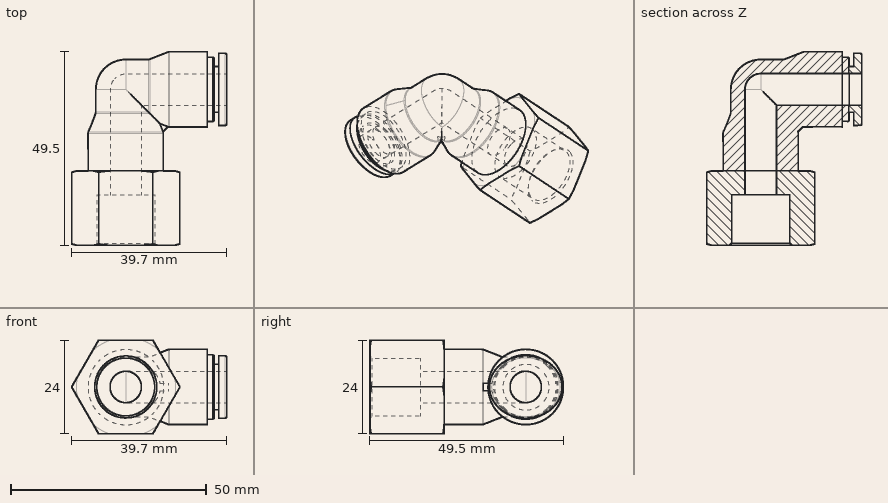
import cadquery as cq
import math


passage_diameter = 8.0
arm_neck_radius = 7.65
arm_radius = 19.3 / 2
arm_length = 20.8
cone_start = 5.95
cone_end = 11.0
blend_radius = 1.0
web_thickness = 2.0
web_reach = 20.35
web_tip = 9.5

across_flats = 24.0
corner_radius = across_flats / math.sqrt(3)
nut_length = 19.0
thread_diameter = 14.8
thread_depth = 12.85
thread_chamfer = 0.55
corner_circle_radius = 12.65
corner_chamfer_depth = 0.35

collar_diameter = 16.5
collar_length = 1.75
collar_chamfer = 0.3

sleeve_neck_diameter = 11.7
sleeve_neck_length = 1.2
flange_length = 2.1
flange_width = 18.5
flange_height = 16.0
flange_fillet = 0.5

nut_end = arm_length + nut_length
collar_end = arm_length + collar_length
flange_start = collar_end + sleeve_neck_length


def cylinder_along_x(start, length, diameter):
    return cq.Workplane("YZ", origin=(start, 0, 0)).circle(diameter / 2).extrude(length)


def to_y_arm(shape):
    """Turn a shape built along +X so that it runs along -Y."""
    return shape.rotate((0, 0, 0), (0, 0, 1), -90)


def make_arm():
    """Outer form of one arm along +X: narrow neck, cone with blended ends, wide socket."""
    arm = (
        cq.Workplane("XY")
        .polyline([
            (0, 0),
            (0, arm_neck_radius),
            (cone_start, arm_neck_radius),
            (cone_end, arm_radius),
            (arm_length, arm_radius),
            (arm_length, 0),
        ])
        .close()
        .revolve(360, (0, 0, 0), (1, 0, 0))
    )
    between_arm_ends = cq.selectors.BoxSelector(
        (cone_start / 2, -arm_radius, -arm_radius),
        ((cone_end + arm_length) / 2, arm_radius, arm_radius),
    )
    return arm.edges("%CIRCLE").edges(between_arm_ends).fillet(blend_radius)


def make_web():
    """Flat web that fills the inner corner between the two cones."""
    return (
        cq.Workplane("XY")
        .polyline([
            (cone_start, -cone_start),
            (web_reach - web_tip, -web_tip),
            (web_tip, web_tip - web_reach),
        ])
        .close()
        .extrude(web_thickness / 2, both=True)
    )


def make_elbow():
    arm = make_arm()
    dome = cq.Workplane("XY").sphere(arm_neck_radius)
    bore = cylinder_along_x(0, arm_length, passage_diameter)
    bore_corner = cq.Workplane("XY").sphere(passage_diameter / 2)
    return (
        arm.union(to_y_arm(arm))
        .union(dome)
        .union(make_web())
        .cut(bore)
        .cut(to_y_arm(bore))
        .cut(bore_corner)
    )


def make_corner_cutter():
    """Turned envelope that bevels the hexagon's corners at both ends of the nut."""
    return (
        cq.Workplane("XY")
        .polyline([
            (arm_length, 0),
            (arm_length, corner_circle_radius),
            (arm_length + corner_chamfer_depth, corner_radius),
            (nut_end - corner_chamfer_depth, corner_radius),
            (nut_end, corner_circle_radius),
            (nut_end, 0),
        ])
        .close()
        .revolve(360, (0, 0, 0), (1, 0, 0))
    )


def make_nut():
    """Hex nut with flats facing up and down, built along +X and turned onto the -Y arm."""
    hexagon = (
        cq.Workplane("YZ", origin=(arm_length, 0, 0))
        .polygon(6, 2 * corner_radius)
        .extrude(nut_length)
        .intersect(make_corner_cutter())
    )
    passage = cylinder_along_x(arm_length, nut_length, passage_diameter)
    thread = cylinder_along_x(nut_end - thread_depth, thread_depth, thread_diameter)
    nut = hexagon.cut(passage).cut(thread)
    mouth = cq.selectors.RadiusNthSelector(0)
    nut = nut.faces(">X").edges(mouth).chamfer(thread_chamfer)
    return to_y_arm(nut)


def make_collar():
    collar = cylinder_along_x(arm_length, collar_length, collar_diameter)
    collar = collar.faces(">X").edges().chamfer(collar_chamfer)
    return collar.cut(cylinder_along_x(arm_length, collar_length, passage_diameter))


def make_sleeve():
    flange = (
        cq.Workplane("YZ", origin=(flange_start, 0, 0))
        .ellipse(flange_width / 2, flange_height / 2)
        .extrude(flange_length)
        .faces(">X").edges().fillet(flange_fillet)
    )
    neck = cylinder_along_x(collar_end, sleeve_neck_length, sleeve_neck_diameter)
    passage = cylinder_along_x(collar_end, sleeve_neck_length + flange_length, passage_diameter)
    return neck.union(flange).cut(passage)


elbow = make_elbow()
nut = make_nut()
collar = make_collar()
sleeve = make_sleeve()

result = cq.Compound.makeCompound([elbow.val(), nut.val(), collar.val(), sleeve.val()])